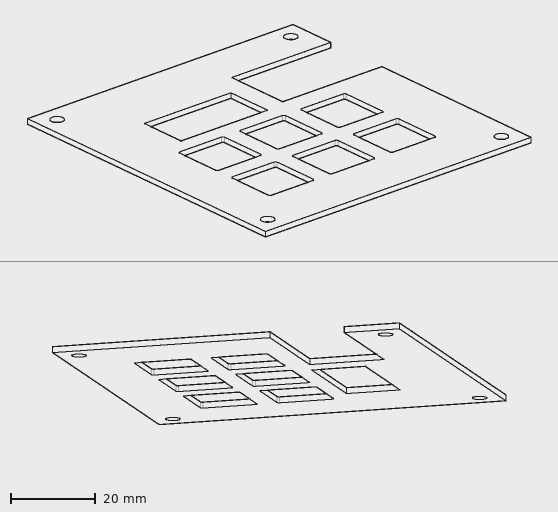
import cadquery as cq

plate_width = 86
plate_depth = 83.0
plate_thickness = 1.5

screw_diameter = 3.4
screw_inset = 5.0

key_size = 14.0
key_corner_radius = 0.5
key_pitch = 19.0
key_columns = 2
key_rows = 3
first_key_x = 45.1
first_key_y = 21.2

notch_left = 13.7
notch_width = 18.4
notch_depth = 31

window_left = 20.2
window_front = 19.1
window_width = 13.25
window_depth = 27.0


def cutter(center_x, center_y, width, depth):
    """Upright block that passes through the plate."""
    return cq.Workplane("XY").center(center_x, center_y).rect(width, depth).extrude(plate_thickness)


result = cq.Workplane("XY").box(plate_width, plate_depth, plate_thickness, centered=False)

for x in (screw_inset, plate_width - screw_inset):
    for y in (screw_inset, plate_depth - screw_inset):
        screw_hole = cq.Workplane("XY").center(x, y).circle(screw_diameter / 2).extrude(plate_thickness)
        result = result.cut(screw_hole)

for column in range(key_columns):
    for row in range(key_rows):
        key_x = first_key_x + column * key_pitch
        key_y = first_key_y + row * key_pitch
        key_opening = cutter(key_x, key_y, key_size, key_size).edges("|Z").fillet(key_corner_radius)
        result = result.cut(key_opening)

notch_x = notch_left + notch_width / 2
notch_y = plate_depth - notch_depth / 2
result = result.cut(cutter(notch_x, notch_y, notch_width, notch_depth))

window_x = window_left + window_width / 2
window_y = window_front + window_depth / 2
result = result.cut(cutter(window_x, window_y, window_width, window_depth))